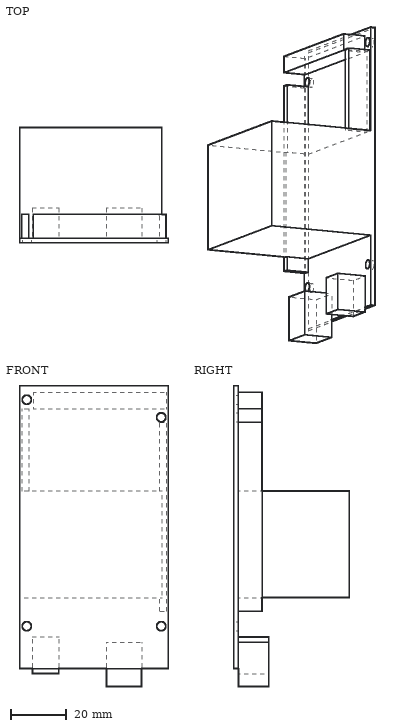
import cadquery as cq

board_width = 53.34
board_thickness = 1.7
board_height = 101.6

hole_diameter = 3.2
left_hole_x = 2.54
right_hole_x = board_width - 2.54
lower_hole_z = 15.24
left_upper_hole_z = 96.52
right_upper_hole_z = 90.17
hole_centres = [
    (left_hole_x, lower_hole_z),
    (right_hole_x, lower_hole_z),
    (left_hole_x, left_upper_hole_z),
    (right_hole_x, right_upper_hole_z),
]

total_depth = 41.47
block_width = 51.0
block_height = 38.3
block_bottom_z = 25.5
block_depth = total_depth - board_thickness

header_depth = 8.5
header_edge_gap = 0.8
column_width = 2.54
left_column_top_z = 93.3
left_column_bottom_z = block_bottom_z
column_height = left_column_top_z - left_column_bottom_z
right_column_bottom_z = 20.6
right_column_left_x = board_width - header_edge_gap - column_width
row_left_x = 4.9
row_width = board_width - header_edge_gap - row_left_x
row_height = 6.0
row_top_z = 99.2

connector_depth = 10.9
power_jack_left_x = 4.6
power_jack_width = 9.5
power_jack_height = 13.2
power_jack_overhang = 1.8
usb_left_x = 31.1
usb_width = 12.7
usb_height = 16.0
usb_overhang = 6.47


def board():
    """Plain plate with its four mounting holes."""
    plate = cq.Workplane("XY").box(board_width, board_thickness, board_height, centered=False)
    holes = (
        cq.Workplane("XZ")
        .pushPoints(hole_centres)
        .circle(hole_diameter / 2)
        .extrude(-board_thickness)
    )
    return plate.cut(holes)


def component(left_x, bottom_z, width, height, depth):
    """Box standing on the component face of the board."""
    corner = (left_x, board_thickness, bottom_z)
    return cq.Workplane("XY").box(width, depth, height, centered=False).translate(corner)


def header_column(left_x, bottom_z):
    """Upright pin header beside one edge of the board."""
    return component(left_x, bottom_z, column_width, column_height, header_depth)


main_block = component(0, block_bottom_z, block_width, block_height, block_depth)
left_header = header_column(header_edge_gap, left_column_bottom_z)
right_header = header_column(right_column_left_x, right_column_bottom_z)
header_row = component(row_left_x, row_top_z - row_height, row_width, row_height, header_depth)
power_jack = component(
    power_jack_left_x, -power_jack_overhang, power_jack_width, power_jack_height, connector_depth
)
usb_socket = component(usb_left_x, -usb_overhang, usb_width, usb_height, connector_depth)

result = board()
for part in (main_block, left_header, right_header, header_row, power_jack, usb_socket):
    result = result.union(part)